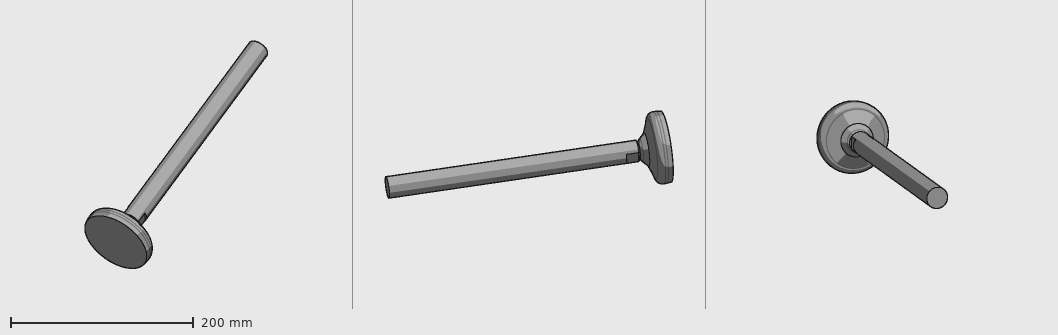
import cadquery as cq
import math

total_length = 311.5

shaft_radius = 12.0
shaft_start = 32.5
neck_radius = 9.5

flats_width = 19.5
flats_start = 33.0
flats_end = 46.5

foot_radius = 40.03
base_radius = 39.2
base_taper_height = 5.5
rim_top = 8.7
shoulder_radius = 33.3
shoulder_height = 16.2
cone_radius = 18.7
cone_height = 22.0

dome_edge_radius = 13.0
dome_edge_height = cone_height + (cone_radius - dome_edge_radius)
dome_sphere_radius = dome_edge_radius * math.sqrt(2)
dome_center_height = dome_edge_height - dome_edge_radius


def dome_height(radius):
    """Height of the dome surface at the given distance from the axis."""
    return dome_center_height + math.sqrt(dome_sphere_radius**2 - radius**2)


def shoulder_midpoint():
    """Middle of the rim's elliptical quarter, between the rim and the shoulder."""
    half = math.sqrt(0.5)
    radius = shoulder_radius + (foot_radius - shoulder_radius) * half
    height = rim_top + (shoulder_height - rim_top) * half
    return radius, height


def make_body():
    """Foot, neck and shaft turned in one profile about the Y axis."""
    dome_mid_radius = (neck_radius + dome_edge_radius) / 2
    dome_middle = (dome_mid_radius, dome_height(dome_mid_radius))
    dome_top = (neck_radius, dome_height(neck_radius))
    profile = (
        cq.Workplane("XY")
        .moveTo(0, 0)
        .lineTo(base_radius, 0)
        .lineTo(foot_radius, base_taper_height)
        .lineTo(foot_radius, rim_top)
        .threePointArc(shoulder_midpoint(), (shoulder_radius, shoulder_height))
        .lineTo(cone_radius, cone_height)
        .lineTo(dome_edge_radius, dome_edge_height)
        .threePointArc(dome_middle, dome_top)
        .lineTo(shaft_radius, shaft_start)
        .lineTo(shaft_radius, total_length)
        .lineTo(0, total_length)
        .close()
    )
    return profile.revolve(360, (0, 0, 0), (0, 1, 0))


def cut_wrench_flats(body):
    """Cut one flat on each X side of the shaft, just above the neck."""
    cutter_depth = shaft_radius
    cutter_offset = (flats_width + cutter_depth) / 2
    flats_middle = (flats_start + flats_end) / 2
    for side in (-1, 1):
        cutter = cq.Workplane("XY").box(cutter_depth, flats_end - flats_start, 2 * shaft_radius)
        body = body.cut(cutter.translate((side * cutter_offset, flats_middle, 0)))
    return body


result = cut_wrench_flats(make_body())